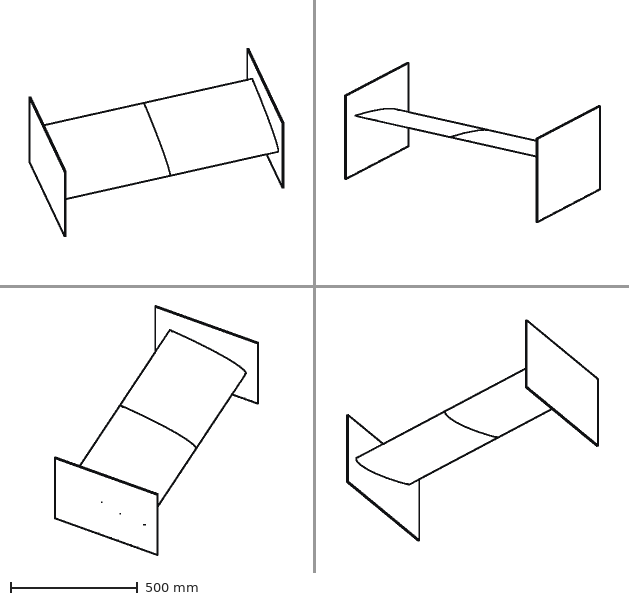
import cadquery as cq
import math

SPAN = 910.0
PLATE_LENGTH = 450.0
PLATE_HEIGHT = 350.0
PLATE_THICKNESS = 5.5
PANEL_SPAN = SPAN / 2 - PLATE_THICKNESS

CHORD = 348.0
THICKNESS_RATIO = 0.14
PITCH_DEGREES = 16.0
TRAILING_EDGE_X = -160.0
TRAILING_EDGE_Z = 72.0
STATIONS = 16


def half_thickness(t):
    """Half thickness, as a fraction of the chord, at chord fraction t, closing to a sharp trailing edge."""
    polynomial = 0.2969 * math.sqrt(t) - 0.126 * t - 0.3516 * t**2 + 0.2843 * t**3 - 0.1036 * t**4
    return 5 * THICKNESS_RATIO * polynomial


def section_point(t, side):
    """Point on the upper (side = 1) or lower (side = -1) surface at chord fraction t."""
    forward = CHORD * (1 - t)
    rise = CHORD * side * half_thickness(t)
    pitch = math.radians(PITCH_DEGREES)
    x = TRAILING_EDGE_X + forward * math.cos(pitch) + rise * math.sin(pitch)
    z = TRAILING_EDGE_Z - forward * math.sin(pitch) + rise * math.cos(pitch)
    return x, z


def wing_section():
    """Closed section: one spline from the trailing edge round the nose and back."""
    fractions = [(1 - math.cos(math.pi * i / STATIONS)) / 2 for i in range(STATIONS + 1)]
    upper = [section_point(t, 1) for t in reversed(fractions)]
    lower = [section_point(t, -1) for t in fractions[1:-1]]
    trailing_edge = upper[0]
    return cq.Workplane("XZ").moveTo(*trailing_edge).spline(
        upper[1:] + lower + [trailing_edge], includeCurrent=True
    ).close()


def make_wing_panel(start_y):
    """Wing panel running from start_y toward +Y."""
    return wing_section().extrude(-PANEL_SPAN).translate((0, start_y, 0))


def make_end_plate(side):
    """Upright plate closing the wing at the -Y (side = -1) or +Y (side = 1) end."""
    center_y = side * (SPAN - PLATE_THICKNESS) / 2
    return cq.Workplane("XY").box(PLATE_LENGTH, PLATE_THICKNESS, PLATE_HEIGHT).translate((0, center_y, 0))


wing_panels = [make_wing_panel(start_y) for start_y in (-PANEL_SPAN, 0)]
end_plates = [make_end_plate(side) for side in (-1, 1)]

bodies = wing_panels + end_plates
result = cq.Compound.makeCompound([body.val() for body in bodies])